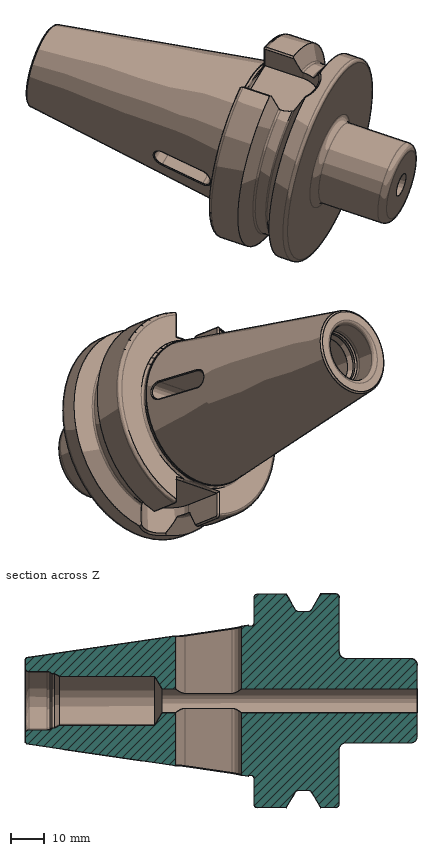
import cadquery as cq
import math

tolerance = 0.01

total_length = 115.4
gauge_x = 65.8
neck_length = 1.5
flange_start = gauge_x + neck_length
flange_end = 92.4

taper_large_radius = 22.3
taper_small_radius = taper_large_radius - gauge_x * 7 / 48
taper_edge_chamfer = 0.5
neck_radius = 22.0
neck_fillet = 0.7

flange_radius = 31.5
flange_edge_fillet = 1.0
groove_start = 76.9
groove_end = 86.9
groove_radius = 26.4
groove_wall_angle = 30
groove_bottom_fillet = 0.7
groove_wall_run = (flange_radius - groove_radius) * math.tan(math.radians(groove_wall_angle))

spigot_radius = 12.5
spigot_fillet = 2.0

keyway_half_width = 8.1
keyway_floor = 22.6
keyway_end = 88.2
keyway_chamfer = 0.6

slot_start = 44.3
slot_end = 63.6
slot_height = 5.3
slot_chamfer = 0.29

mouth_fillet = 1.2
pilot_radius = 8.5
pilot_depth = 6.5
relief_radius = 8.4
relief_depth = 7.4
recess_radius = 8.0
recess_depth = 8.7
core_radius = 7.2
core_start = 10.2
core_end = 38.1
drill_point_angle = 118
through_radius = 3.5


def revolve_profile(points):
    """Revolve a closed (x, radius) outline about the X axis."""
    return cq.Workplane("XY").polyline(points).close().revolve(360, (0, 0, 0), (1, 0, 0))


def circle_edges(body, x, radius):
    """Select the circular edges centred on the axis at x with the given radius."""
    def matches(edge):
        centre = edge.arcCenter()
        offset = math.hypot(centre.x - x, centre.y, centre.z)
        return offset < tolerance and abs(edge.radius() - radius) < tolerance

    return body.edges("%CIRCLE").filter(matches)


def make_body():
    """Taper, neck, grooved flange and spigot as one turned body."""
    groove_floor_start = groove_start + groove_wall_run
    groove_floor_end = groove_end - groove_wall_run
    body = revolve_profile([
        (0, 0),
        (0, taper_small_radius),
        (gauge_x, taper_large_radius),
        (gauge_x, neck_radius),
        (flange_start, neck_radius),
        (flange_start, flange_radius),
        (groove_start, flange_radius),
        (groove_floor_start, groove_radius),
        (groove_floor_end, groove_radius),
        (groove_end, flange_radius),
        (flange_end, flange_radius),
        (flange_end, spigot_radius),
        (total_length, spigot_radius),
        (total_length, 0),
    ])
    body = circle_edges(body, 0, taper_small_radius).chamfer(taper_edge_chamfer)
    body = circle_edges(body, flange_start, neck_radius).fillet(neck_fillet)
    for x in (flange_start, flange_end):
        body = circle_edges(body, x, flange_radius).fillet(flange_edge_fillet)
    for x in (groove_floor_start, groove_floor_end):
        body = circle_edges(body, x, groove_radius).fillet(groove_bottom_fillet)
    for x in (flange_end, total_length):
        body = circle_edges(body, x, spigot_radius).fillet(spigot_fillet)
    return body


def make_keyway():
    """Round-ended keyway cutter above the axis, open towards the taper."""
    arc_start = keyway_end - keyway_half_width
    return (
        cq.Workplane("XY", origin=(0, 0, keyway_floor))
        .moveTo(gauge_x, -keyway_half_width)
        .lineTo(arc_start, -keyway_half_width)
        .threePointArc((keyway_end, 0), (arc_start, keyway_half_width))
        .lineTo(gauge_x, keyway_half_width)
        .close()
        .extrude(flange_radius)
    )


def is_keyway_rim(edge):
    """Tell whether an edge borders a keyway on the flange face or on either outer land."""
    box = edge.BoundingBox()
    reach = keyway_half_width + tolerance
    low, high = sorted((abs(box.zmin), abs(box.zmax)))
    crosses_axis = box.zmin * box.zmax < 0
    if crosses_axis or box.ymin < -reach or box.ymax > reach:
        return False
    if abs(box.xmin - flange_start) < tolerance and abs(box.xmax - flange_start) < tolerance:
        return high > keyway_floor - tolerance
    above_floor = low > keyway_floor + tolerance
    on_land = box.xmax < groove_start + tolerance or box.xmin > groove_end - tolerance
    return above_floor and on_land


def cut_keyways(body):
    """Cut both keyways and chamfer their rims outside the gripper groove."""
    keyway = make_keyway()
    body = body.cut(keyway).cut(keyway.mirror("XY"))
    return body.edges().filter(is_keyway_rim).chamfer(keyway_chamfer)


def cut_cross_slot(body):
    """Cut the round-ended slot through the taper along Y and chamfer its two rims."""
    slot = (
        cq.Workplane("XZ", origin=((slot_start + slot_end) / 2, 0, 0))
        .slot2D(slot_end - slot_start, slot_height)
        .extrude(taper_large_radius, both=True)
    )
    rim_zone = cq.selectors.BoxSelector(
        (slot_start - slot_chamfer, -taper_large_radius, -slot_height),
        (slot_end + slot_chamfer, taper_large_radius, slot_height),
    )
    return body.cut(slot).faces("%CONE").edges(rim_zone).chamfer(slot_chamfer)


def cut_bore(body):
    """Cut the stepped bore with its drill point and through hole, then round its mouth."""
    point_length = (core_radius - through_radius) / math.tan(math.radians(drill_point_angle / 2))
    bore = revolve_profile([
        (0, 0),
        (0, pilot_radius),
        (pilot_depth, pilot_radius),
        (relief_depth, relief_radius),
        (relief_depth + relief_radius - recess_radius, recess_radius),
        (recess_depth, recess_radius),
        (core_start, core_radius),
        (core_end, core_radius),
        (core_end + point_length, through_radius),
        (total_length, through_radius),
        (total_length, 0),
    ])
    return circle_edges(body.cut(bore), 0, pilot_radius).fillet(mouth_fillet)


result = make_body()
result = cut_keyways(result)
result = cut_cross_slot(result)
result = cut_bore(result)